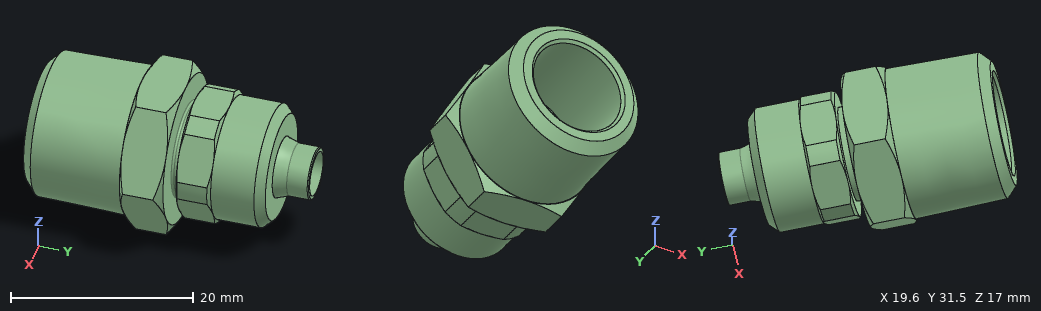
import cadquery as cq
import math

total_length = 31.5
thread_chamfer_length = 1.15
body_hex_start = 11.5
body_hex_end = 16.5
nut_start = 17.5
nut_hex_end = 21.5
nut_chamfer_start = 26.5
nut_end = 27.5
tip_start = 29.0

thread_mouth_radius = 7.0
thread_tip_radius = 8.22
thread_base_radius = 8.45
body_hex_flats = 17.0
neck_radius = 5.25
neck_root_fillet = 0.25
nut_face_radius = 6.02
nut_hex_flats = 14.0
nut_radius = nut_hex_flats / 2
nut_hex_corner_radius = 7.5
flare_radius = 3.45
flare_mid_radius = 3.18
tip_radius = 3.0
tip_edge_chamfer = 0.13

through_radius = 2.5
bore_radius = 5.55
bore_mouth_radius = 5.9
bore_depth = 11.5
bore_floor_angle = 118.0

hex_chamfer_angle = 30.0


def revolve_profile(profile):
    """Revolve a closed (radius, y) wire about the Y axis."""
    return profile.close().revolve(360, (0, 0, 0), (0, 1, 0))


def chamfered_hex(flats, corner_radius, start, end):
    """Hexagon along Y with corners on X, its ends turned to a cone touching the flats."""
    length = end - start
    corner_diameter = flats / math.cos(math.pi / 6)
    prism = (
        cq.Workplane("XZ", origin=(0, end, 0))
        .polygon(6, corner_diameter)
        .extrude(length)
    )
    inner_radius = flats / 2
    drop = (corner_radius - inner_radius) * math.tan(math.radians(hex_chamfer_angle))
    turned_envelope = revolve_profile(
        cq.Workplane("XY").polyline([
            (0, start),
            (inner_radius, start),
            (corner_radius, start + drop),
            (corner_radius, end - drop),
            (inner_radius, end),
            (0, end),
        ])
    )
    return prism.intersect(turned_envelope)


flare_mid = (flare_mid_radius, (nut_end + tip_start) / 2)
turned_body = revolve_profile(
    cq.Workplane("XY")
    .moveTo(0, 0)
    .lineTo(thread_mouth_radius, 0)
    .lineTo(thread_tip_radius, thread_chamfer_length)
    .lineTo(thread_base_radius, body_hex_start)
    .lineTo(thread_base_radius, body_hex_end)
    .lineTo(neck_radius + neck_root_fillet, body_hex_end)
    .radiusArc((neck_radius, body_hex_end + neck_root_fillet), neck_root_fillet)
    .lineTo(neck_radius, nut_start)
    .lineTo(nut_radius, nut_start)
    .lineTo(nut_radius, nut_chamfer_start)
    .lineTo(nut_face_radius, nut_end)
    .lineTo(flare_radius, nut_end)
    .threePointArc(flare_mid, (tip_radius, tip_start))
    .lineTo(tip_radius, total_length - tip_edge_chamfer)
    .lineTo(tip_radius - tip_edge_chamfer, total_length)
    .lineTo(0, total_length)
)

body_hex_corner_radius = body_hex_flats / 2 / math.cos(math.pi / 6)
body_hex = chamfered_hex(body_hex_flats, body_hex_corner_radius, body_hex_start, body_hex_end)
nut_hex = chamfered_hex(nut_hex_flats, nut_hex_corner_radius, nut_start, nut_hex_end)

mouth_chamfer = bore_mouth_radius - bore_radius
floor_depth = (bore_radius - through_radius) / math.tan(math.radians(bore_floor_angle / 2))
passage = revolve_profile(
    cq.Workplane("XY").polyline([
        (0, 0),
        (bore_mouth_radius, 0),
        (bore_radius, mouth_chamfer),
        (bore_radius, bore_depth),
        (through_radius, bore_depth + floor_depth),
        (through_radius, total_length),
        (0, total_length),
    ])
)

result = turned_body.union(body_hex).union(nut_hex).cut(passage)